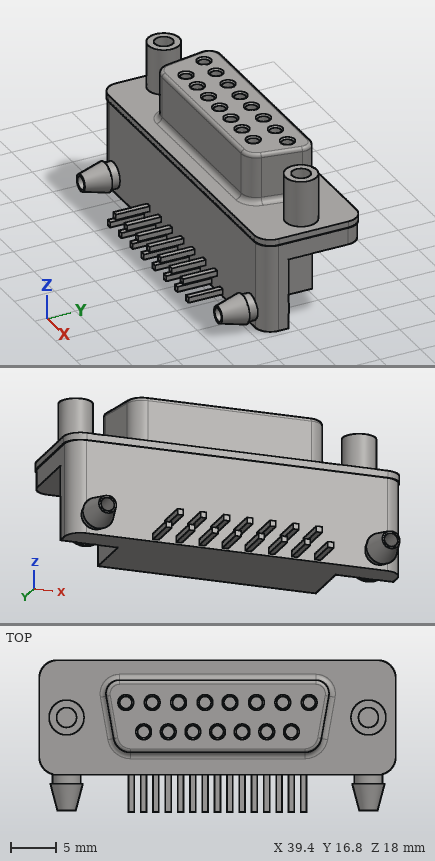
import cadquery as cq
import math


flange_length = 39.37
flange_depth = 12.68
flange_thickness = 0.83
flange_corner_radius = 2.0

housing_inset = 0.1
housing_length = flange_length - 2 * housing_inset
housing_depth = flange_depth - 2 * housing_inset
housing_corner_radius = flange_corner_radius - housing_inset
housing_bottom_z = -11.75
ear_bottom_z = -3.0
wall_thickness = 3.2
block_length = 25.6
block_back_y = 3.4
front_y = -housing_depth / 2
wall_back_y = front_y + wall_thickness

shell_height = 6.1
shell_back_y = 4.15
shell_front_y = -3.85
shell_corner_x = 12.6
shell_side_angle = 10.0
shell_back_radius = 1.5
shell_front_radius = 1.9
shell_rim_radius = 0.45
shell_base_radius = 0.65

hole_radius = 0.65
hole_chamfer = 0.2
hole_depth = 4.72
back_row_y = 1.65
back_row_pitch = 2.9
back_row_middle_gap = 2.75
back_row_half_count = 4
front_row_y = -1.57
front_row_pitch = 2.7
front_row_count = 7

fastener_x = 16.65
post_radius = 1.93
post_bore_radius = 1.1
post_height = 5.65
lock_z = -9.6
lock_head_radius = 2.32
lock_head_thickness = 0.4
lock_neck_radius = 1.57
lock_barb_radius = 1.8
lock_barb_y = -7.3
lock_tip_radius = 1.02
lock_tip_y = -10.28
lock_bore_radius = 0.8

pin_size = 0.65
pin_pitch = 2.7
pin_tip_y = -10.45
upper_pin_z = -9.5
upper_pin_count = 7
lower_pin_z = -11.15
lower_pin_count = 8


def centered_row(count, pitch):
    """Positions of evenly pitched items, symmetric about zero."""
    return [(i - (count - 1) / 2) * pitch for i in range(count)]


def rounded_plate(length, depth, corner_radius, top_z, bottom_z):
    plate = cq.Workplane("XY").workplane(offset=bottom_z).rect(length, depth).extrude(top_z - bottom_z)
    return plate.edges("|Z").fillet(corner_radius)


def block(length, y_min, y_max, z_min, z_max):
    size = (length, y_max - y_min, z_max - z_min)
    return cq.Workplane("XY").box(*size, centered=(True, False, False)).translate((0, y_min, z_min))


def make_housing():
    envelope = rounded_plate(
        housing_length, housing_depth, housing_corner_radius, -flange_thickness, housing_bottom_z
    )
    space_under_ears = block(flange_length, wall_back_y, flange_depth, housing_bottom_z, ear_bottom_z)
    central_block = block(block_length, wall_back_y, block_back_y, housing_bottom_z, ear_bottom_z)
    return envelope.cut(space_under_ears).union(central_block)


def make_flange_with_shell():
    side_run = (shell_back_y - shell_front_y) * math.tan(math.radians(shell_side_angle))
    front_corner_x = shell_corner_x - side_run
    outline = [
        (-shell_corner_x, shell_back_y),
        (shell_corner_x, shell_back_y),
        (front_corner_x, shell_front_y),
        (-front_corner_x, shell_front_y),
    ]
    shell = cq.Workplane("XY").polyline(outline).close().extrude(shell_height)
    shell = shell.edges("|Z and >Y").fillet(shell_back_radius)
    shell = shell.edges("|Z and <Y").fillet(shell_front_radius)
    shell = shell.faces(">Z").edges().fillet(shell_rim_radius)

    flange = rounded_plate(flange_length, flange_depth, flange_corner_radius, 0, -flange_thickness)
    joined = flange.union(shell)
    margin = 0.05
    foot_region = cq.selectors.BoxSelector(
        (-shell_corner_x, shell_front_y - margin, -margin),
        (shell_corner_x, shell_back_y + margin, margin),
    )
    return joined.edges(foot_region).fillet(shell_base_radius)


def make_contact_holes():
    half_gap = back_row_middle_gap / 2
    half_row = [half_gap + i * back_row_pitch for i in range(back_row_half_count)]
    points = [(side * x, back_row_y) for x in half_row for side in (-1, 1)]
    points += [(x, front_row_y) for x in centered_row(front_row_count, front_row_pitch)]
    mouth_radius = hole_radius + hole_chamfer
    profile = [
        (0, 0),
        (mouth_radius, 0),
        (hole_radius, -hole_chamfer),
        (hole_radius, -hole_depth),
        (0, -hole_depth),
    ]
    hole = cq.Workplane("XZ").polyline(profile).close().revolve(360, (0, 0), (0, 1)).val()
    return cq.Workplane("XY").workplane(offset=shell_height).pushPoints(points).eachpoint(
        lambda place: hole.moved(place), combine=False
    )


def make_post(x):
    return cq.Workplane("XY").center(x, 0).circle(post_radius).circle(post_bore_radius).extrude(post_height)


def make_board_lock(x):
    """Turned lock through the front wall: head behind it, barbed tip ahead of it."""
    profile = [
        (0, wall_back_y + lock_head_thickness),
        (lock_head_radius, wall_back_y + lock_head_thickness),
        (lock_head_radius, wall_back_y),
        (lock_neck_radius, wall_back_y),
        (lock_neck_radius, lock_barb_y),
        (lock_barb_radius, lock_barb_y),
        (lock_tip_radius, lock_tip_y),
        (0, lock_tip_y),
    ]
    lock = cq.Workplane("XY").polyline(profile).close().revolve(360, (0, 0), (0, 1))
    return lock.translate((x, 0, lock_z))


def make_lock_bore(x):
    bore = cq.Workplane("XZ").center(x, lock_z).circle(lock_bore_radius)
    return bore.extrude(flange_depth, both=True)


def make_pins(count, z):
    points = [(x, z) for x in centered_row(count, pin_pitch)]
    pins = cq.Workplane("XZ", origin=(0, wall_back_y, 0)).pushPoints(points).rect(pin_size, pin_size)
    return pins.extrude(wall_back_y - pin_tip_y)


result = make_flange_with_shell().union(make_housing()).cut(make_contact_holes())
for fastener_side in (-fastener_x, fastener_x):
    result = result.union(make_post(fastener_side))
    result = result.union(make_board_lock(fastener_side))
    result = result.cut(make_lock_bore(fastener_side))
result = result.union(make_pins(upper_pin_count, upper_pin_z))
result = result.union(make_pins(lower_pin_count, lower_pin_z))